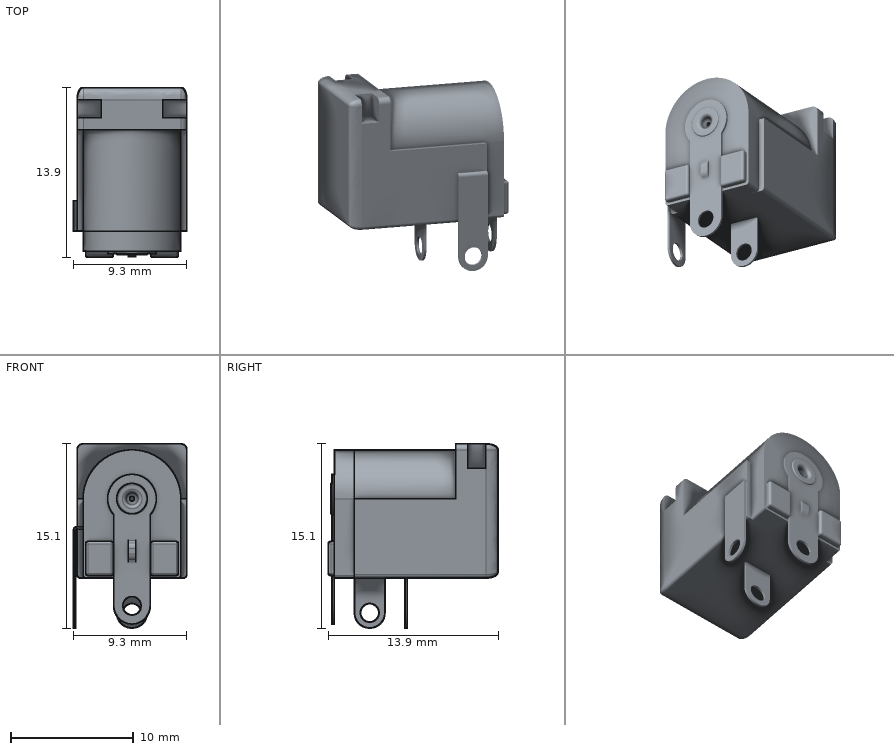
import cadquery as cq
import math


half_width = 4.5
top_z = 4.5
bottom_z = -6.51
barrel_radius = 4.0
cap_depth = 1.65
flange_y = 9.94
front_y = 13.41
edge_round_length = 1.0
edge_round_inset = 0.5
seam_y = front_y - edge_round_length
top_corner_radius = 0.5
bottom_corner_radius = 0.3
notch_width = 2.0
notch_depth = 2.0
notch_length = 1.5

cap_corner_radius = 0.24
pad_inner_x = 1.53
pad_outer_x = 3.8
pad_height = 2.8
pad_thickness = 0.5
pad_top_z = -3.5
pad_fillet = 0.2

sheet = 0.2
lug_hole_diameter = 1.5
lug_width = 2.5
lug_bottom_z = -10.6
side_terminal_x = -4.8
side_terminal_top_z = -2.3
side_bend_radius = 0.3
front_terminal_y = 5.78
front_terminal_embed = 1.0
rear_lug_width = 3.0
rear_lug_bottom_z = -10.27
rear_ring_radius = 2.0

tongue_width = 0.65
tongue_z = -4.29
tongue_flat = 0.42
tongue_rise = 0.25
tongue_foot_radius = 0.3
tongue_crest_radius = 0.7

rivet_head_diameter = 2.5
rivet_head_height = 0.098
rivet_rim_fillet = 0.09
rivet_shank_diameter = 2.0
rivet_bore_diameter = 1.0
rivet_lip_radius = 0.3
rivet_groove_radius = 0.23
rivet_throat_diameter = 0.4
rivet_throat_depth = 0.5


def box(x_min, x_max, y_min, y_max, z_min, z_max):
    """Axis-aligned box given by its limits."""
    size = (x_max - x_min, y_max - y_min, z_max - z_min)
    return cq.Workplane("XY").box(*size, centered=False).translate((x_min, y_min, z_min))


def cylinder_y(diameter, y_min, y_max):
    """Cylinder on the plug axis."""
    return cq.Workplane("XZ", origin=(0, y_min, 0)).circle(diameter / 2).extrude(y_min - y_max)


def barrel(y_min, y_max, corner_radius):
    """Arch-shaped prism: half round above the axis, straight sides below it."""
    return (
        cq.Workplane("XZ", origin=(0, y_min, 0))
        .moveTo(-barrel_radius, 0)
        .threePointArc((0, barrel_radius), (barrel_radius, 0))
        .lineTo(barrel_radius, bottom_z)
        .lineTo(-barrel_radius, bottom_z)
        .close()
        .extrude(y_min - y_max)
        .edges("|Y and <Z")
        .fillet(corner_radius)
    )


def flange_prism(length):
    """Rounded rectangular prism with the flange outline, starting at Y = 0."""
    return (
        box(-half_width, half_width, 0, length, bottom_z, top_z)
        .edges("|Y and >Z")
        .fillet(top_corner_radius)
        .edges("|Y and <Z")
        .fillet(bottom_corner_radius)
    )


def rounded_front():
    """Front end of the flange, its rim rounded to a quarter ellipse that is longer along Y."""
    stretch = edge_round_length / edge_round_inset
    circular = flange_prism(2 * edge_round_inset).faces(">Y").edges().fillet(edge_round_inset)
    stretch_along_y = cq.Matrix([[1, 0, 0, 0], [0, stretch, 0, 0], [0, 0, 1, 0]])
    elliptical = cq.Workplane(circular.val().transformGeometry(stretch_along_y))
    straight = box(-half_width, half_width, 0, edge_round_length, bottom_z, top_z)
    return elliptical.cut(straight).translate((0, seam_y - edge_round_length, 0))


def make_housing():
    """Barrel on a rectangular base, ending in a flange with a notch in each upper side."""
    base = (
        box(-half_width, half_width, cap_depth, flange_y, bottom_z, 0)
        .edges("|Y and <Z")
        .fillet(bottom_corner_radius)
    )
    housing = flange_prism(seam_y - flange_y).translate((0, flange_y, 0))
    housing = housing.union(base).union(barrel(cap_depth, flange_y, bottom_corner_radius))
    housing = housing.union(rounded_front())
    for side in (-1, 1):
        x_limits = sorted((side * half_width, side * (half_width - notch_width)))
        housing = housing.cut(box(*x_limits, seam_y - notch_length, seam_y, top_z - notch_depth, top_z))
    return housing


def make_cap():
    """Rear cap continuing the barrel, with two pads flanking the rear terminal."""
    cap = barrel(0, cap_depth, cap_corner_radius)
    for side in (-1, 1):
        x_limits = sorted((side * pad_inner_x, side * pad_outer_x))
        pad = box(*x_limits, -pad_thickness, 0, pad_top_z - pad_height, pad_top_z)
        cap = cap.union(pad.edges("not >Y").fillet(pad_fillet))
    return cap


def make_lug(width, bottom, top):
    """Flat tab in the XZ plane, one sheet thick towards +Y, with a round holed end."""
    center_z = bottom + width / 2
    return (
        cq.Workplane("XZ")
        .moveTo(-width / 2, top)
        .lineTo(-width / 2, center_z)
        .threePointArc((0, bottom), (width / 2, center_z))
        .lineTo(width / 2, top)
        .close()
        .moveTo(0, center_z)
        .circle(lug_hole_diameter / 2)
        .extrude(-sheet)
    )


def make_front_terminal():
    """Straight lug set into the underside of the housing."""
    lug = make_lug(lug_width, lug_bottom_z, bottom_z + front_terminal_embed)
    return lug.translate((0, front_terminal_y, 0))


def make_side_terminal():
    """Lug beside the housing whose top bends inward as far as the barrel's side."""
    inner_x = side_terminal_x + sheet
    inner_z = side_terminal_top_z - sheet
    y_min = cap_depth
    y_max = cap_depth + lug_width
    lug = (
        make_lug(lug_width, lug_bottom_z, side_terminal_top_z)
        .rotate((0, 0, 0), (0, 0, 1), 90)
        .translate((inner_x, (y_min + y_max) / 2, 0))
    )
    shelf = box(side_terminal_x, -barrel_radius, y_min, y_max, inner_z, side_terminal_top_z)
    return (
        lug.union(shelf)
        .edges("|Y and <X and >Z")
        .fillet(side_bend_radius)
        .edges(cq.selectors.NearestToPointSelector((inner_x, y_min + lug_width / 2, inner_z)))
        .fillet(side_bend_radius - sheet)
    )


def make_tongue():
    """Raised tongue: flat crest between two S-shaped slopes tangent to the terminal sheet."""
    radii = tongue_foot_radius + tongue_crest_radius
    angle = math.acos(1 - tongue_rise / radii)
    half_flat = tongue_flat / 2
    join = half_flat + tongue_crest_radius * math.sin(angle)
    foot = half_flat + radii * math.sin(angle)
    crest_y = -sheet - tongue_rise
    join_y = crest_y + tongue_crest_radius * (1 - math.cos(angle))
    crest_mid = (
        crest_y + tongue_crest_radius * (1 - math.cos(angle / 2)),
        half_flat + tongue_crest_radius * math.sin(angle / 2),
    )
    foot_mid = (
        -sheet - tongue_foot_radius * (1 - math.cos(angle / 2)),
        foot - tongue_foot_radius * math.sin(angle / 2),
    )
    return (
        cq.Workplane("YZ", origin=(-tongue_width / 2, 0, tongue_z))
        .moveTo(-sheet, -foot)
        .threePointArc((foot_mid[0], -foot_mid[1]), (join_y, -join))
        .threePointArc((crest_mid[0], -crest_mid[1]), (crest_y, -half_flat))
        .lineTo(crest_y, half_flat)
        .threePointArc(crest_mid, (join_y, join))
        .threePointArc(foot_mid, (-sheet, foot))
        .close()
        .extrude(tongue_width)
    )


def make_rear_terminal():
    """Lug with a round head around the plug axis, lying on the rear face of the cap."""
    ring = cylinder_y(2 * rear_ring_radius, -sheet, 0)
    lug = make_lug(rear_lug_width, rear_lug_bottom_z, 0).translate((0, -sheet, 0))
    return lug.union(ring).union(make_tongue())


def make_rivet():
    """Rivet through the terminal and cap, with a round-lipped, dished bore in its head."""
    head_y = -sheet - rivet_head_height
    head = cylinder_y(rivet_head_diameter, head_y, -sheet).faces("<Y").edges().fillet(rivet_rim_fillet)
    rivet = head.union(cylinder_y(rivet_shank_diameter, -sheet, cap_depth))
    bore_radius = rivet_bore_diameter / 2
    throat_radius = rivet_throat_diameter / 2
    mid_arc = rivet_lip_radius * (1 - math.sqrt(0.5))
    lip_y = head_y + rivet_lip_radius
    groove_center_x = bore_radius - rivet_groove_radius
    groove_mid = (groove_center_x, lip_y + rivet_groove_radius)
    throat_y = lip_y + math.sqrt(rivet_groove_radius**2 - (groove_center_x - throat_radius) ** 2)
    floor_y = throat_y + rivet_throat_depth
    bore = (
        cq.Workplane("XY")
        .moveTo(0, head_y)
        .lineTo(bore_radius + rivet_lip_radius, head_y)
        .threePointArc((bore_radius + mid_arc, head_y + mid_arc), (bore_radius, lip_y))
        .threePointArc(groove_mid, (throat_radius, throat_y))
        .lineTo(throat_radius, floor_y)
        .lineTo(0, floor_y)
        .close()
        .revolve(360, (0, 0, 0), (0, 1, 0))
    )
    return rivet.cut(bore)


rivet = make_rivet()
side_terminal = make_side_terminal()
front_terminal = make_front_terminal()
rivet_hole = cylinder_y(rivet_shank_diameter, -sheet, cap_depth)
rear_terminal = make_rear_terminal().cut(rivet_hole)
cap = make_cap().cut(rivet_hole)
housing = make_housing().cut(side_terminal).cut(front_terminal)

result = cq.Compound.makeCompound([
    housing.val(), cap.val(), rivet.val(),
    rear_terminal.val(), side_terminal.val(), front_terminal.val(),
])